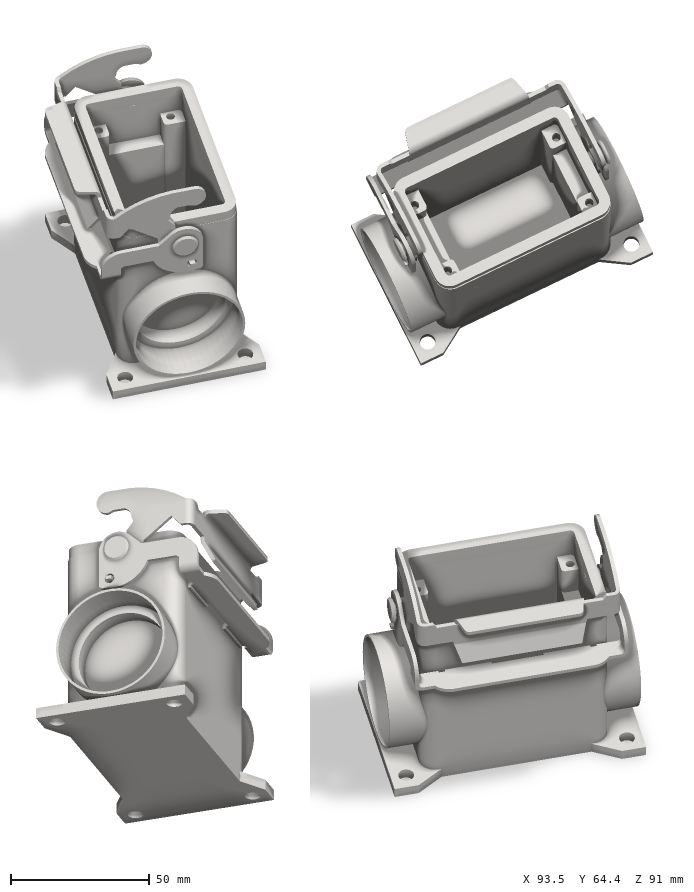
import cadquery as cq
import math

length = 93.5
base_depth = 57.3
base_thickness = 4.0
base_neck = 27.9
base_ear = 37.8
mount_hole_x = 41.0
mount_hole_y = 22.5
mount_hole_diameter = 5.7

body_length = 69.9
body_depth = 44.9
body_corner = 6.1
seam_height = 68.9
body_height = 73.0
collar_inset_x = 0.1
collar_inset_y = 0.4

cavity_length = 61.7
cavity_depth = 36.1
cavity_corner = 1.6
cavity_seam = 68.5
cavity_relief = 0.1
ledge_height = 49.9
ledge_x = 25.6

post_height = 60.7
post_x = 24.8
post_y = 10.2
post_corner = 1.4
screw_x = 28.5
screw_y = 13.5
screw_mouth_diameter = 3.2
screw_bottom_diameter = 2.5
screw_depth = 7.5

entry_height = 26.2
entry_radius = 20.9
entry_bore_radius = 20.0
entry_bore_depth = 13.2
knockout_radius = 17.0
knockout_depth = 19.8

pivot_height = 66.1
pivot_radius = 2.6
pivot_shank_radius = 1.6
pivot_head_radius = 4.9
pivot_head_rim_radius = 4.2
pivot_head_start = 40.3
pivot_head_length = 1.5

sheet = 1.5
lever_outer_x = 37.8
lever_front_y = -28.1
lever_corner = 2.9
lever_top = 91.0
lever_band_bottom = 73.4
lever_band_top = 83.3
sheet_bend = 1.1
lobe_y = -2.2
lobe_z = 64.05
lobe_radius = 7.1
hook_radius = 4.3
hook_y = 4.4
hook_root = (2.2, 83.2)
throat_start = (-2.1, 83.2)
throat_middle = (-3.9, 81.8)
throat_end = (-4.8, 79.3)
heel_tip = (-5.4, 77.3)
neck_front = (-2.8, 74.05)
neck_foot = (-2.8, 72.9)
neck_back_z = 69.1
arch_peak = (-20.1, 77.3)
band_side_y = -23.6
crown_start_y = -4.2
crown_middle = (-15.2, 88.8)
crown_end_y = -25.7

tab_seat = 81.6
tab_height = 84.5
tab_tip_y = -35.8
tab_tip_corner = 1.9
tab_root_x = 24.1
tab_tip_x = 21.7
notch_x = 32.2
notch_floor_x = 30.95
lip_bend = 71.4
lip_angle = 26.0
lip_length = 7.95
lip_root_x = 25.1
lip_tip_x = 22.1
lip_corner = 1.4

bracket_outer_x = 39.6
bracket_head_radius = 7.1
bracket_arm_top = 67.1
bracket_arm_bottom = 60.0
bracket_front_y = -30.9
bracket_back_y = -23.75
bracket_foot = 53.9
bracket_bend = 2.9
foot_overlap = 0.9
bracket_bottom = 51.2
bracket_elbow = 7.3
elbow_chamfer = 0.9
bracket_arm_start_y = -9.35
belly_start_y = -11.6
belly_middle = (-7.1, 54.0)
belly_end_y = 0.9
bracket_heel_start = (5.05, 51.5)
bracket_heel_middle = (6.5, 51.9)
bracket_heel_z = 52.7
apron_y = -34.0
apron_start_x = 32.4
apron_mid_x = 29.7
apron_mid_y = -33.1
apron_flat_x = 26.65
window_y = -24.6
window_x = 9.6
relief_inner_x = 27.0
relief_outer_x = 29.4
spring_lip_bottom = 52.8
spring_lip_y = -22.5
spring_lip_thickness = 1.1
spring_lip_slope = 0.9

stop_y = 3.0
stop_z = 55.1
stop_width = 2.1
stop_height = 1.3
stop_end = 40.8
stop_hole_diameter = 3.7

SIDES = (-1, 1)
CORNERS = [(sx, sy) for sx in SIDES for sy in SIDES]


def block(x_range, y_range, z_range):
    """Axis-aligned box given by its limits."""
    size = [high - low for low, high in (x_range, y_range, z_range)]
    return cq.Workplane("XY").box(*size, centered=False).translate((x_range[0], y_range[0], z_range[0]))


def rounded_block(x_size, y_size, corner, bottom, top):
    """Box centred on Z with rounded vertical edges."""
    box = cq.Workplane("XY").workplane(offset=bottom).rect(x_size, y_size).extrude(top - bottom)
    return box.edges("|Z").fillet(corner)


def rod(radius, start, end, y, z):
    """Cylinder along X."""
    return cq.Workplane("YZ", origin=(start, y, z)).circle(radius).extrude(end - start)


def mirrored_x(shape):
    """The shape together with its mirror image across the YZ plane."""
    return shape.union(shape.mirror("YZ"))


def make_base():
    half_x = length / 2
    half_y = base_depth / 2
    quarter = [(half_x, half_y), (base_ear, half_y), (base_neck, body_depth / 2)]
    outline = quarter + [(-x, y) for x, y in reversed(quarter)]
    outline += [(-x, -y) for x, y in quarter]
    outline += [(x, -y) for x, y in reversed(quarter)]
    plate = cq.Workplane("XY").polyline(outline).close().extrude(base_thickness)
    holes = [(sx * mount_hole_x, sy * mount_hole_y) for sx, sy in CORNERS]
    drills = cq.Workplane("XY").pushPoints(holes).circle(mount_hole_diameter / 2).extrude(base_thickness)
    return plate.cut(drills)


def make_cavity():
    mouth = rounded_block(cavity_length, cavity_depth, cavity_corner, ledge_height, body_height)
    wide_length = cavity_length + 2 * cavity_relief
    wide_depth = cavity_depth + 2 * cavity_relief
    upper = rounded_block(wide_length, wide_depth, cavity_corner, ledge_height, cavity_seam)
    lower = block((-ledge_x, post_x), (-wide_depth / 2, wide_depth / 2), (base_thickness, ledge_height))
    cavity = mouth.union(upper).union(lower)
    for sx, sy in CORNERS:
        cavity = cavity.cut(make_post(sx, sy))
    return cavity


def make_post(sx, sy):
    """Corner post with a rounded inner edge and a screw hole in its top."""
    x_size = body_length / 2 - post_x
    y_size = body_depth / 2 - post_y
    centre = (sx * (post_x + x_size / 2), sy * (post_y + y_size / 2))
    post = cq.Workplane("XY", origin=(*centre, base_thickness)).rect(x_size, y_size)
    post = post.extrude(post_height - base_thickness)
    inner_edge = ("<X" if sx > 0 else ">X") + " and " + ("<Y" if sy > 0 else ">Y")
    post = post.edges("|Z").edges(inner_edge).fillet(post_corner)
    screw = (
        cq.Workplane("XY", origin=(sx * screw_x, sy * screw_y, post_height - screw_depth))
        .circle(screw_bottom_diameter / 2)
        .workplane(offset=screw_depth)
        .circle(screw_mouth_diameter / 2)
        .loft()
    )
    return post.cut(screw)


def make_housing():
    housing = rounded_block(body_length, body_depth, body_corner, 0, seam_height)
    collar = rounded_block(body_length - 2 * collar_inset_x, body_depth - 2 * collar_inset_y,
                           body_corner - collar_inset_y, seam_height, body_height)
    housing = housing.union(collar).union(make_base())
    half = length / 2
    housing = housing.union(mirrored_x(rod(entry_radius, post_x, half, 0, entry_height)))
    bore = rod(entry_bore_radius, half - entry_bore_depth, half, 0, entry_height)
    bore = bore.union(rod(knockout_radius, half - knockout_depth, half, 0, entry_height))
    pivot_hole = rod(pivot_shank_radius, cavity_length / 2, body_length / 2, 0, pivot_height)
    housing = housing.cut(mirrored_x(bore)).cut(make_cavity()).cut(mirrored_x(pivot_hole))
    return housing


def make_lever_frame():
    """U-shaped band: two hooked side plates joined by the front plate."""
    rear_y = hook_y + hook_radius
    inner_x = lever_outer_x - sheet
    outer = block((-lever_outer_x, lever_outer_x), (lever_front_y, rear_y), (0, lever_top))
    inner = block((-inner_x, inner_x), (lever_front_y + sheet, rear_y), (0, lever_top))
    outer = outer.edges("|Z and <Y").fillet(lever_corner)
    inner = inner.edges("|Z and <Y").fillet(lever_corner - sheet)
    lobe_diagonal = lobe_radius * math.sqrt(0.5)
    side = (
        cq.Workplane("YZ", origin=(-lever_outer_x, 0, 0))
        .moveTo(hook_y, lever_top)
        .threePointArc((rear_y, lever_top - hook_radius), (hook_y, lever_top - 2 * hook_radius))
        .lineTo(*hook_root)
        .lineTo(*throat_start)
        .threePointArc(throat_middle, throat_end)
        .lineTo(*heel_tip)
        .lineTo(*neck_front)
        .lineTo(*neck_foot)
        .lineTo(lobe_y, lobe_z + lobe_radius)
        .threePointArc((lobe_y + lobe_radius, lobe_z), (lobe_y, lobe_z - lobe_radius))
        .threePointArc((lobe_y - lobe_diagonal, lobe_z - lobe_diagonal), (lobe_y - lobe_radius, lobe_z))
        .lineTo(lobe_y - lobe_radius, neck_back_z)
        .lineTo(*arch_peak)
        .lineTo(band_side_y, lever_band_bottom)
        .lineTo(lever_front_y, lever_band_bottom)
        .lineTo(lever_front_y, lever_band_top)
        .lineTo(crown_end_y, lever_band_top)
        .threePointArc(crown_middle, (crown_start_y, lever_top))
        .close()
        .extrude(2 * lever_outer_x)
    )
    notch = (
        cq.Workplane("XZ", origin=(0, lever_front_y + sheet, 0))
        .polyline([(-notch_x, lever_band_top), (-notch_floor_x, tab_seat),
                   (notch_floor_x, tab_seat), (notch_x, lever_band_top)])
        .close()
        .extrude(sheet)
    )
    return outer.cut(inner).intersect(side).cut(notch)


def round_bend(strip, outside_corner, inside_corner):
    """Round both faces of a sheet-metal bend about the X direction."""
    strip = strip.edges("|X").edges(cq.selectors.NearestToPointSelector(outside_corner))
    strip = strip.fillet(sheet_bend + sheet)
    strip = strip.edges("|X").edges(cq.selectors.NearestToPointSelector(inside_corner))
    return strip.fillet(sheet_bend)


def make_top_tab():
    """Tab that rises from the front plate and bends outward."""
    inner_y = lever_front_y + sheet
    underside = tab_height - sheet
    strip = (
        cq.Workplane("YZ", origin=(-tab_root_x, 0, 0))
        .polyline([(inner_y, tab_seat), (inner_y, tab_height), (tab_tip_y, tab_height),
                   (tab_tip_y, underside), (lever_front_y, underside), (lever_front_y, tab_seat)])
        .close()
        .extrude(2 * tab_root_x)
    )
    strip = round_bend(strip, (0, inner_y, tab_height), (0, lever_front_y, underside))
    plan = (
        cq.Workplane("XY")
        .polyline([(-tab_root_x, inner_y), (tab_root_x, inner_y),
                   (tab_tip_x, tab_tip_y), (-tab_tip_x, tab_tip_y)])
        .close()
        .extrude(lever_top)
        .edges("|Z and <Y")
        .fillet(tab_tip_corner)
    )
    return strip.intersect(plan)


def make_lower_lip():
    """Lip that hangs from the front plate and leans outward."""
    inner_y = lever_front_y + sheet
    lean_y = lip_length * math.sin(math.radians(lip_angle))
    lean_z = lip_length * math.cos(math.radians(lip_angle))
    end_y = sheet * math.cos(math.radians(lip_angle))
    end_z = sheet * math.sin(math.radians(lip_angle))
    inside_z = lip_bend + sheet * math.tan(math.radians(lip_angle / 2))
    tip_y = inner_y - lean_y
    tip_z = lip_bend - lean_z
    strip = (
        cq.Workplane("YZ", origin=(-lip_root_x, 0, 0))
        .polyline([(inner_y, lever_band_bottom), (inner_y, lip_bend), (tip_y, tip_z),
                   (tip_y - end_y, tip_z + end_z), (lever_front_y, inside_z),
                   (lever_front_y, lever_band_bottom)])
        .close()
        .extrude(2 * lip_root_x)
    )
    strip = round_bend(strip, (0, inner_y, lip_bend), (0, lever_front_y, inside_z))
    face = (
        cq.Workplane("XZ")
        .polyline([(-lip_root_x, lever_band_bottom), (lip_root_x, lever_band_bottom),
                   (lip_tip_x, tip_z), (-lip_tip_x, tip_z)])
        .close()
        .extrude(-tab_tip_y)
        .edges("|Y and <Z")
        .fillet(lip_corner)
    )
    return strip.intersect(face)


def make_bracket_plate():
    """Side plate of the bracket on the +X side, down to the start of its foot bend."""
    inner_x = bracket_outer_x - sheet
    diagonal = bracket_head_radius * math.sqrt(0.5)
    elbow_y = bracket_front_y + bracket_elbow
    elbow_z = bracket_arm_top - bracket_elbow
    foot_top = bracket_foot + bracket_bend
    plate = (
        cq.Workplane("YZ", origin=(inner_x, 0, 0))
        .moveTo(bracket_head_radius, bracket_heel_z)
        .lineTo(bracket_head_radius, pivot_height)
        .threePointArc((0, pivot_height + bracket_head_radius), (-diagonal, pivot_height + diagonal))
        .lineTo(bracket_arm_start_y, bracket_arm_top)
        .lineTo(elbow_y, bracket_arm_top)
        .threePointArc((elbow_y - bracket_elbow * math.sqrt(0.5), elbow_z + bracket_elbow * math.sqrt(0.5)),
                       (bracket_front_y, elbow_z))
        .lineTo(bracket_front_y, foot_top)
        .lineTo(bracket_back_y, foot_top)
        .lineTo(bracket_back_y, bracket_arm_bottom - elbow_chamfer)
        .lineTo(bracket_back_y + elbow_chamfer, bracket_arm_bottom)
        .lineTo(belly_start_y, bracket_arm_bottom)
        .threePointArc(belly_middle, (belly_end_y, bracket_bottom))
        .lineTo(*bracket_heel_start)
        .threePointArc(bracket_heel_middle, (bracket_head_radius, bracket_heel_z))
        .close()
        .extrude(sheet)
    )
    return plate.cut(rod(stop_hole_diameter / 2, inner_x, bracket_outer_x, stop_y, stop_z))


def make_bracket_foot():
    """Cross strip under the side plates, bent up at both ends, with its curved apron."""
    inner_x = bracket_outer_x - sheet
    foot_top = bracket_foot + bracket_bend + foot_overlap
    y_range = (bracket_front_y, bracket_back_y)
    foot = block((-bracket_outer_x, bracket_outer_x), y_range, (bracket_foot, foot_top))
    foot = foot.edges("|Y and <Z").fillet(bracket_bend)
    hollow = block((-inner_x, inner_x), y_range, (bracket_foot + sheet, foot_top))
    hollow = hollow.edges("|Y and <Z").fillet(bracket_bend - sheet)
    apron = (
        cq.Workplane("XY", origin=(0, 0, bracket_foot))
        .moveTo(-apron_start_x, bracket_front_y)
        .threePointArc((-apron_mid_x, apron_mid_y), (-apron_flat_x, apron_y))
        .lineTo(apron_flat_x, apron_y)
        .threePointArc((apron_mid_x, apron_mid_y), (apron_start_x, bracket_front_y))
        .close()
        .extrude(sheet)
    )
    foot = foot.cut(hollow).union(apron)
    openings = [(-window_x, window_x), (relief_inner_x, relief_outer_x), (-relief_outer_x, -relief_inner_x)]
    for x_range in openings:
        foot = foot.cut(block(x_range, (window_y, bracket_back_y), (bracket_foot, bracket_foot + sheet)))
    return foot.union(mirrored_x(make_spring_lip()))


def make_spring_lip():
    """Lip on the rear edge of the foot, bent down along the housing wall."""
    top = bracket_foot + sheet
    inner_y = spring_lip_y - spring_lip_thickness
    return (
        cq.Workplane("YZ", origin=(window_x, 0, 0))
        .polyline([(window_y, top), (bracket_back_y, top), (spring_lip_y, top - spring_lip_slope),
                   (spring_lip_y, spring_lip_bottom), (inner_y, spring_lip_bottom),
                   (inner_y, bracket_foot), (window_y, bracket_foot)])
        .close()
        .extrude(relief_inner_x - window_x)
    )


def make_pivot():
    """Pivot pin on the +X side, from the cavity wall out to its bevelled head."""
    head_middle = pivot_head_start + pivot_head_length / 2
    head_end = pivot_head_start + pivot_head_length
    head = (
        cq.Workplane("XY")
        .polyline([(pivot_head_start, 0), (pivot_head_start, pivot_head_rim_radius),
                   (head_middle, pivot_head_radius), (head_end, pivot_head_rim_radius), (head_end, 0)])
        .close()
        .revolve(360, (0, 0, 0), (1, 0, 0))
        .translate((0, 0, pivot_height))
    )
    shank = rod(pivot_shank_radius, cavity_length / 2, head_middle, 0, pivot_height)
    return shank.union(rod(pivot_radius, body_length / 2, head_middle, 0, pivot_height)).union(head)


def make_stop():
    """Stop tongue on the +X side: drops from the lever lobe and turns out through the bracket."""
    inner_x = lever_outer_x - sheet
    y_range = (stop_y - stop_width / 2, stop_y + stop_width / 2)
    bottom = stop_z - stop_height / 2
    tongue = block((inner_x, lever_outer_x), y_range, (bottom, lobe_z))
    return tongue.union(block((inner_x, stop_end), y_range, (bottom, bottom + stop_height)))


def make_latch():
    latch = make_lever_frame().union(make_top_tab()).union(make_lower_lip())
    latch = latch.union(make_bracket_foot())
    for half_part in (make_bracket_plate(), make_pivot(), make_stop()):
        latch = latch.union(mirrored_x(half_part))
    return latch


housing = make_housing()
latch = make_latch()
result = cq.Compound.makeCompound([housing.val(), latch.val()])